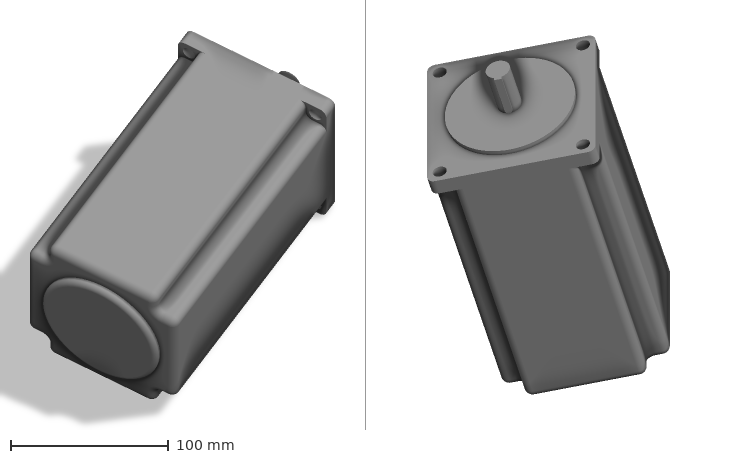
import cadquery as cq


total_length = 234.0
body_width = 110.0

flange_thickness = 10.8
edge_radius = 5.1
notch_size = 15.2
hole_spacing = 93.5
hole_diameter = 9.1

pilot_diameter = 85.2
pilot_height = 3.5
shaft_diameter = 16.0
shaft_length = 31.0

key_width = 5.0
key_reach = 9.5
key_gap = 1.2

cover_diameter = 85.2
cover_height = 5.1
cover_edge_radius = 3.3
cover_offset_x = 1.5
cover_offset_z = 0.7
cover_overlap = 10.8

half_width = body_width / 2
body_length = total_length - shaft_length - pilot_height - cover_height


def disc(diameter, y_start, length, x=0.0, z=0.0):
    """Cylinder along Y from y_start toward +Y."""
    base = cq.Solid.makeCylinder(diameter / 2, length, cq.Vector(x, y_start, z), cq.Vector(0, 1, 0))
    return cq.Workplane(obj=base)


def make_body():
    """Square prism with a rounded relief along each corner and a rounded rear rim."""
    body = cq.Workplane("XY").box(body_width, body_length, body_width).translate((0, -body_length / 2, 0))
    relief_length = body_length - flange_thickness
    relief_y = -flange_thickness - relief_length / 2
    for x_side in (-1, 1):
        for z_side in (-1, 1):
            relief = (
                cq.Workplane("XY")
                .box(2 * notch_size, relief_length, 2 * notch_size)
                .edges("|Y")
                .fillet(edge_radius)
                .translate((x_side * half_width, relief_y, z_side * half_width))
            )
            body = body.cut(relief)
    rim = body.faces("<Y").edges().vals()
    long_edges = [
        edge
        for edge in body.edges("|Y").vals()
        if max(abs(edge.Center().x), abs(edge.Center().z)) > half_width - edge_radius
    ]
    return body.newObject(rim + long_edges).fillet(edge_radius)


def make_cover():
    """Rear disc with a rounded outer edge."""
    cover = disc(
        cover_diameter,
        -body_length - cover_height,
        cover_height + cover_overlap,
        cover_offset_x,
        cover_offset_z,
    )
    return cover.faces("<Y").edges().fillet(cover_edge_radius)


def make_key():
    """Key along the underside of the shaft, rounded at its inner end and flush with the shaft tip."""
    round_radius = key_width / 2
    round_y = pilot_height + key_gap + round_radius
    tip_y = pilot_height + shaft_length
    return (
        cq.Workplane("XY")
        .moveTo(-round_radius, tip_y)
        .lineTo(-round_radius, round_y)
        .threePointArc((0, round_y - round_radius), (round_radius, round_y))
        .lineTo(round_radius, tip_y)
        .close()
        .extrude(-key_reach)
    )


mounting_holes = (
    cq.Workplane("XZ")
    .rect(hole_spacing, hole_spacing, forConstruction=True)
    .vertices()
    .circle(hole_diameter / 2)
    .extrude(flange_thickness)
)

pilot = disc(pilot_diameter, 0, pilot_height)
shaft = disc(shaft_diameter, 0, pilot_height + shaft_length)

result = make_body().cut(mounting_holes).union(make_cover()).union(pilot).union(shaft).union(make_key())